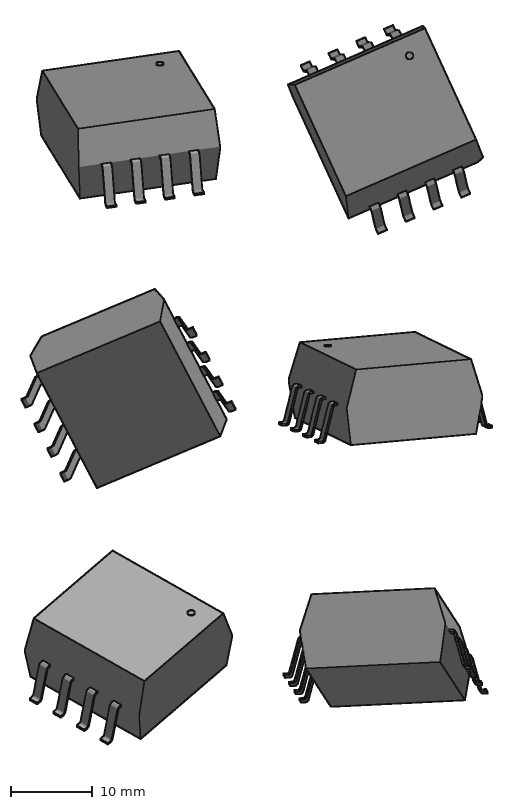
import cadquery as cq
import math

overall_length = 23.11
overall_height = 9.4
housing_width = 18.01

lead_thickness = 0.25
band_height = lead_thickness
band_bottom_z = 4.58
band_top_z = band_bottom_z + band_height
top_inset_x = 1.37
top_inset_y = 0.3
bottom_inset_x = 0.69
bottom_inset_y = 0.35

leads_per_side = 4
lead_pitch = 3.71
lead_width = 1.2
lead_angle = math.radians(75)
bend_inner_radius = 0.25
shoulder_length = 0.28

marker_diameter = 0.9
marker_depth = 0.1
marker_x = -5.27
first_lead_y = lead_pitch * (leads_per_side - 1) / 2
marker_y = first_lead_y


def tapered_half(start_z, end_z, inset_x, inset_y):
    """Frustum from the full housing square at start_z to an inset rectangle at end_z."""
    return (
        cq.Workplane("XY", origin=(0, 0, start_z))
        .rect(housing_width, housing_width)
        .workplane(offset=end_z - start_z)
        .rect(housing_width - 2 * inset_x, housing_width - 2 * inset_y)
        .loft(ruled=True)
    )


def make_marker():
    """Thin disc whose upper face is level with the top of the housing."""
    return (
        cq.Workplane("XY", origin=(marker_x, marker_y, overall_height - marker_depth))
        .circle(marker_diameter / 2)
        .extrude(marker_depth)
    )


def make_housing(marker):
    """Band with a tapered half above and below it, and a recess for the marker."""
    band = (
        cq.Workplane("XY", origin=(0, 0, band_bottom_z))
        .rect(housing_width, housing_width)
        .extrude(band_height)
    )
    upper_half = tapered_half(band_top_z, overall_height, top_inset_x, top_inset_y)
    lower_half = tapered_half(band_bottom_z, 0, bottom_inset_x, bottom_inset_y)
    return band.union(upper_half).union(lower_half).cut(marker)


def make_lead(side, y):
    """Flat strip swept along its centreline; side is +1 for the +X row, -1 for the -X row."""
    bend_radius = bend_inner_radius + lead_thickness / 2
    bend_run = bend_radius * math.sin(lead_angle)
    bend_drop = bend_radius * (1 - math.cos(lead_angle))

    housing_x = housing_width / 2
    shoulder_z = band_bottom_z + lead_thickness / 2
    foot_z = lead_thickness / 2
    shoulder_end_x = housing_x + shoulder_length
    leg_top = (shoulder_end_x + bend_run, shoulder_z - bend_drop)
    leg_bottom_z = foot_z + bend_drop
    leg_run = (leg_top[1] - leg_bottom_z) / math.tan(lead_angle)
    leg_bottom = (leg_top[0] + leg_run, leg_bottom_z)

    centreline = (
        cq.Workplane("XZ", origin=(0, y, 0))
        .moveTo(side * housing_x, shoulder_z)
        .lineTo(side * shoulder_end_x, shoulder_z)
        .tangentArcPoint((side * leg_top[0], leg_top[1]), relative=False)
        .lineTo(side * leg_bottom[0], leg_bottom[1])
        .tangentArcPoint((side * (leg_bottom[0] + bend_run), foot_z), relative=False)
        .lineTo(side * overall_length / 2, foot_z)
    )
    return (
        cq.Workplane("YZ", origin=(side * housing_x, y, shoulder_z))
        .rect(lead_width, lead_thickness)
        .sweep(centreline)
    )


marker = make_marker()
housing = make_housing(marker)
leads = []
for side in (-1, 1):
    for index in range(leads_per_side):
        lead_y = first_lead_y - index * lead_pitch
        leads.append(make_lead(side, lead_y))

result = cq.Compound.makeCompound(
    [housing.solids().val(), marker.val(), *[lead.val() for lead in leads]]
)